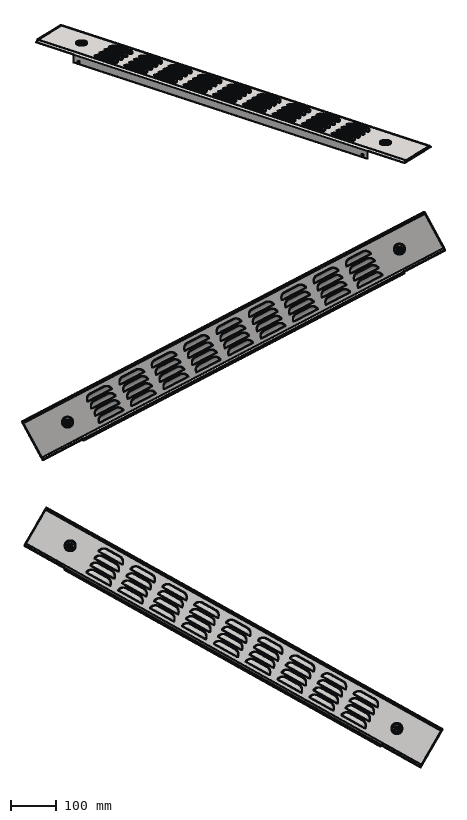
import cadquery as cq
import math

length = 995.0
width = 98.11
height = 28.99
sheet = 1.5

shoulder = 5.5
flange_length = 793.0

flange_hole_diameter = 6.0
flange_hole_inset = 13.5
flange_hole_rise = 4.5

louvre_columns = 9
louvre_rows = 4
column_pitch = 80.0
row_pitch = 18.0
louvre_depth = 14.0
louvre_straight = 33.0
louvre_rise = 4.3
louvre_row_offset = -7.5

fastener_x = 410.0
dimple_rim_diameter = 25.0
dimple_rim_drop = 0.5
dimple_cone_diameter = 20.0
dimple_seat_diameter = 12.0
dimple_drop = 4.0
head_diameter = 11.0
head_height = 1.0
slot_width = 2.0
slot_depth = 0.6
shank_diameter = 6.0
shank_drop = 12.0
tip_diameter = 4.5
tip_drop = 15.5

flange_bottom = louvre_rise - height
shoulder_angle = math.radians(45)
half_width = width / 2
crest_half_width = half_width - shoulder
bend_shift = sheet * math.tan(shoulder_angle / 2)
head_sink = 0.5


def channel_body():
    """Bent sheet section, with the flanges cut away near both ends."""
    right_half = [
        (crest_half_width, 0),
        (half_width, -shoulder),
        (half_width, flange_bottom),
        (half_width - sheet, flange_bottom),
        (half_width - sheet, -shoulder - bend_shift),
        (crest_half_width - bend_shift, -sheet),
    ]
    left_half = [(-y, z) for y, z in reversed(right_half)]
    body = (
        cq.Workplane("YZ")
        .polyline(right_half + left_half)
        .close()
        .extrude(length / 2, both=True)
    )
    end_length = (length - flange_length) / 2
    for side in (-1, 1):
        relief = cq.Workplane("XY").box(end_length, width, height, centered=(True, True, False))
        relief_x = side * (length - end_length) / 2
        body = body.cut(relief.translate((relief_x, 0, -shoulder - height)))
    return body


def end_lips():
    """Turned-down lips closing both ends of the plate between the shoulders."""
    lip_outline = [
        (-crest_half_width, 0),
        (crest_half_width, 0),
        (half_width, -shoulder),
        (-half_width, -shoulder),
    ]
    lip = cq.Workplane("YZ").polyline(lip_outline).close().extrude(sheet)
    return lip.translate((-length / 2, 0, 0)).union(lip.translate((length / 2 - sheet, 0, 0)))


def flange_holes():
    hole_x = flange_length / 2 - flange_hole_inset
    return (
        cq.Workplane("XZ", origin=(0, 0, flange_bottom + flange_hole_rise))
        .pushPoints([(-hole_x, 0), (hole_x, 0)])
        .circle(flange_hole_diameter / 2)
        .extrude(width, both=True)
    )


def dome_solid(radius, rise, base):
    """Half of an elongated shallow dome from z = base, its flat side on y = 0."""
    sphere_radius = (radius**2 + rise**2) / (2 * rise)
    centre_z = rise - sphere_radius
    mid_angle = math.asin(radius / sphere_radius) / 2
    mid_point = (sphere_radius * math.sin(mid_angle), centre_z + sphere_radius * math.cos(mid_angle))

    def section():
        return (
            cq.Workplane("YZ")
            .moveTo(0, base)
            .lineTo(0, rise)
            .threePointArc(mid_point, (radius, 0))
            .lineTo(radius, base)
            .close()
        )

    dome = section().extrude(louvre_straight / 2, both=True)
    quarter = section().revolve(90, (0, 0, 0), (0, 1, 0))
    left_end = quarter.translate((-louvre_straight / 2, 0, 0))
    return dome.union(left_end).union(left_end.mirror("YZ"))


def louvre_points():
    return [
        (
            (column - (louvre_columns - 1) / 2) * column_pitch,
            (row - (louvre_rows - 1) / 2) * row_pitch + louvre_row_offset,
            0,
        )
        for column in range(louvre_columns)
        for row in range(louvre_rows)
    ]


def copies_at_louvres(shape):
    copies = [shape.val().translate(cq.Vector(point)) for point in louvre_points()]
    return cq.Workplane("XY").newObject(copies).combine()


def add_louvres(body):
    """Raise each hood and open the sheet beneath it."""
    hood = dome_solid(louvre_depth, louvre_rise, -sheet)
    hollow = dome_solid(louvre_depth - sheet, louvre_rise - sheet, -2 * sheet)
    hoods = copies_at_louvres(hood)
    hollows = copies_at_louvres(hollow)
    return body.union(hoods).cut(hollows)


def disc(diameter, bottom, top):
    return cq.Workplane("XY").workplane(offset=bottom).circle(diameter / 2).extrude(top - bottom)


def dimple(top_z):
    """Shallow flat-rimmed recess with a cone at its middle."""
    rim_z = top_z - dimple_rim_drop
    cone = (
        cq.Workplane("XY")
        .workplane(offset=rim_z)
        .circle(dimple_cone_diameter / 2)
        .workplane(offset=dimple_rim_drop - dimple_drop)
        .circle(dimple_seat_diameter / 2)
        .loft()
    )
    return disc(dimple_rim_diameter, rim_z, top_z).union(cone)


def add_fasteners(body):
    """Press a conical dimple at each end and seat a slotted screw in it."""
    seat_z = -dimple_drop
    screw = (
        disc(head_diameter, seat_z - head_sink, seat_z + head_height)
        .union(disc(shank_diameter, -shank_drop, seat_z))
        .union(disc(tip_diameter, -tip_drop, -shank_drop))
    )
    slot = cq.Workplane("XY").box(head_diameter, slot_width, 2 * slot_depth)
    screw = screw.cut(slot.translate((0, 0, seat_z + head_height)))
    for x in (-fastener_x, fastener_x):
        body = body.union(dimple(-sheet).translate((x, 0, 0)))
        body = body.cut(dimple(0).translate((x, 0, 0)))
        body = body.union(screw.translate((x, 0, 0)))
    return body


body = channel_body().union(end_lips()).cut(flange_holes())
result = add_fasteners(add_louvres(body))